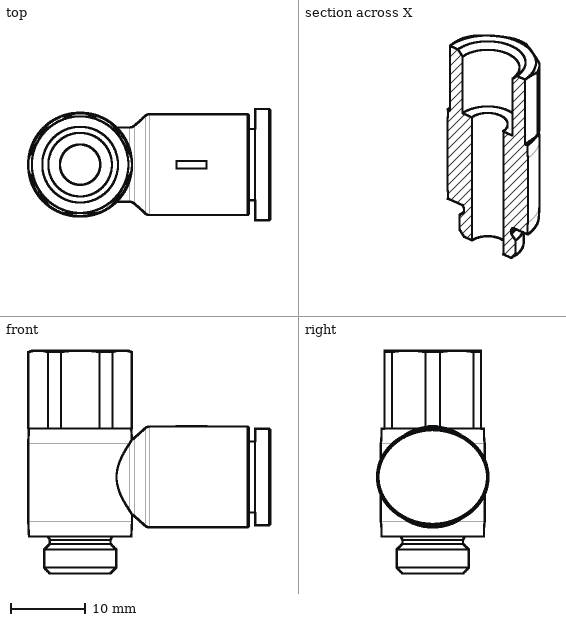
import cadquery as cq


spigot_radius = 4.864
spigot_chamfer = 0.8
spigot_top_z = 3.25
neck_radius = 4.1
neck_top_z = 4.55
neck_flare_radius = 4.33

body_radius = 7.0
body_end_radius = 6.9
body_bottom_z = 5.0
body_top_z = 19.5
band_height = 2.0

overall_height = 30.0
hex_across_flats = 13.0
head_chamfer_height = 0.2

through_bore_radius = 2.7
port_radius = 4.28
port_depth = 10.0
port_mouth_radius = 5.1

branch_axis_z = 13.0
branch_neck_radius = 5.0
cone_start_x = 7.0
cone_end_x = 9.0
neck_blend_radius = 1.0
barrel_blend_radius = 0.8
socket_radius = 6.8
socket_end_x = 22.7
socket_chamfer = 0.2
collar_radius = 4.8

button_start_x = 23.55
button_end_x = 25.6
button_half_width = 7.5
button_half_height = 6.5
button_chamfer = 0.2

mark_start_x = 12.95
mark_length = 4.07
mark_width = 1.0
mark_raise = 0.07


def make_body():
    """Turned spigot, neck and round body up to the underside of the head."""
    neck_bottom_z = spigot_top_z + spigot_radius - neck_radius
    profile = [
        (0, 0),
        (spigot_radius - spigot_chamfer, 0),
        (spigot_radius, spigot_chamfer),
        (spigot_radius, spigot_top_z),
        (neck_radius, neck_bottom_z),
        (neck_radius, neck_top_z),
        (neck_flare_radius, body_bottom_z),
        (body_end_radius, body_bottom_z),
        (body_radius, body_bottom_z + band_height),
        (body_radius, body_top_z - band_height),
        (body_end_radius, body_top_z),
        (0, body_top_z),
    ]
    return cq.Workplane("XZ").polyline(profile).close().revolve(360, (0, 0), (0, 1))


def make_head():
    """Hexagon with flats facing +Y and -Y, its corners rounded and top edge chamfered."""
    head_height = overall_height - body_top_z
    head = (
        cq.Workplane("XY", origin=(0, 0, body_top_z))
        .circle(body_radius)
        .extrude(head_height)
        .faces(">Z")
        .chamfer(head_chamfer_height, body_radius - hex_across_flats / 2)
    )
    slab = cq.Workplane("XY", origin=(0, 0, body_top_z)).box(
        2 * body_radius, hex_across_flats, head_height, centered=(True, True, False)
    )
    for angle in (0, 60, 120):
        head = head.intersect(slab.rotate((0, 0, 0), (0, 0, 1), angle))
    return head


def make_socket():
    """Turned branch: neck, blended cone, socket barrel and release collar."""
    cone_run = cone_end_x - cone_start_x
    cone_rise = socket_radius - branch_neck_radius
    cone_length = (cone_run**2 + cone_rise**2) ** 0.5
    cone_cos = cone_run / cone_length
    cone_sin = cone_rise / cone_length
    half_angle_tan = (1 - cone_cos) / cone_sin
    neck_setback = neck_blend_radius * half_angle_tan
    barrel_setback = barrel_blend_radius * half_angle_tan
    cone_start = (cone_start_x + neck_setback * cone_cos, branch_neck_radius + neck_setback * cone_sin)
    cone_end = (cone_end_x - barrel_setback * cone_cos, socket_radius - barrel_setback * cone_sin)
    profile = (
        cq.Workplane("XZ", origin=(0, 0, branch_axis_z))
        .lineTo(0, branch_neck_radius)
        .lineTo(cone_start_x - neck_setback, branch_neck_radius)
        .tangentArcPoint(cone_start, relative=False)
        .lineTo(*cone_end)
        .tangentArcPoint((cone_end_x + barrel_setback, socket_radius), relative=False)
        .lineTo(socket_end_x - socket_chamfer, socket_radius)
        .lineTo(socket_end_x, socket_radius - socket_chamfer)
        .lineTo(socket_end_x, collar_radius)
        .lineTo(button_start_x, collar_radius)
        .lineTo(button_start_x, 0)
        .close()
    )
    return profile.revolve(360, (0, 0), (1, 0))


def make_button():
    """Elliptical flange at the open end, with a chamfered outer rim."""
    return (
        cq.Workplane("YZ", origin=(button_start_x, 0, branch_axis_z))
        .ellipse(button_half_width, button_half_height)
        .extrude(button_end_x - button_start_x)
        .faces(">X")
        .chamfer(button_chamfer)
    )


def make_mark():
    """Flat-topped pad standing slightly above the crest of the socket."""
    return cq.Workplane("XY", origin=(mark_start_x, 0, branch_axis_z)).box(
        mark_length, mark_width, socket_radius + mark_raise, centered=(False, True, False)
    )


def make_bore():
    """Through bore, wider port from the top and countersunk mouth."""
    port_bottom_z = overall_height - port_depth
    mouth_bottom_z = overall_height - (port_mouth_radius - port_radius)
    profile = [
        (0, 0),
        (through_bore_radius, 0),
        (through_bore_radius, port_bottom_z),
        (port_radius, port_bottom_z),
        (port_radius, mouth_bottom_z),
        (port_mouth_radius, overall_height),
        (0, overall_height),
    ]
    return cq.Workplane("XZ").polyline(profile).close().revolve(360, (0, 0), (0, 1))


fitting = make_body().union(make_head())
fitting = fitting.union(make_socket()).union(make_button()).union(make_mark())
result = fitting.cut(make_bore())